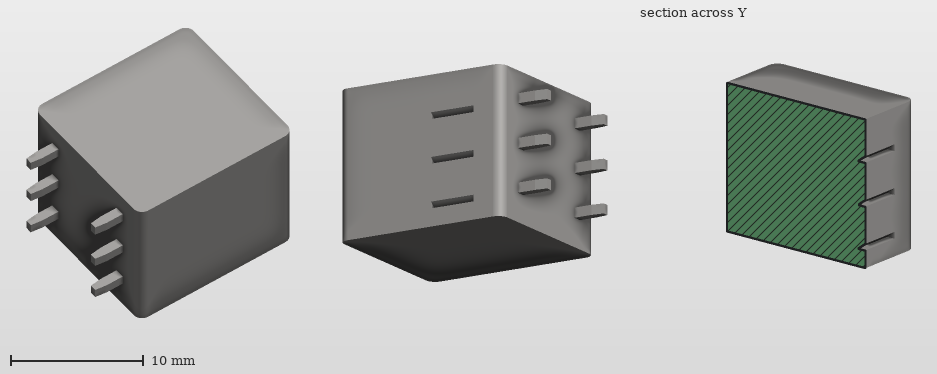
import cadquery as cq

housing_x = 13.5
housing_y = 14.4
housing_z = 11.9
corner_radius = 0.8

overall_y = 16.9
pin_length = overall_y - housing_y
pin_size = 0.8
pin_tip_width = 0.54
pin_taper_length = 1.0
pin_columns = (-4.0, 4.19)

slot_height = 0.52
slot_length = 3.75
slot_depth = 0.7
slot_setback = 2.5

row_pitch = 3.5
pin_row_offset = 0.25
slot_row_offset = -0.76

front_y = -housing_y / 2
side_x = -housing_x / 2
row_steps = (-row_pitch, 0, row_pitch)


def make_housing():
    return cq.Workplane("XY").box(housing_x, housing_y, housing_z).edges("|Z").fillet(corner_radius)


def make_pin(x, z):
    """Square pin pointing to -Y, with its last stretch narrowed in X."""
    tip_y = front_y - pin_length
    taper_y = tip_y + pin_taper_length
    outline = [
        (x - pin_size / 2, front_y),
        (x - pin_size / 2, taper_y),
        (x - pin_tip_width / 2, tip_y),
        (x + pin_tip_width / 2, tip_y),
        (x + pin_size / 2, taper_y),
        (x + pin_size / 2, front_y),
    ]
    return cq.Workplane("XY", origin=(0, 0, z - pin_size / 2)).polyline(outline).close().extrude(pin_size)


def make_slot(z):
    """Wedge with a level floor and a roof that slopes down to meet it inside the housing."""
    floor_z = z - slot_height / 2
    outline = [
        (side_x, floor_z),
        (side_x, floor_z + slot_height),
        (side_x + slot_depth, floor_z),
    ]
    start_y = front_y + slot_setback
    return cq.Workplane("XZ", origin=(0, start_y, 0)).polyline(outline).close().extrude(-slot_length)


result = make_housing()
for step in row_steps:
    for column_x in pin_columns:
        result = result.union(make_pin(column_x, pin_row_offset + step))
    result = result.cut(make_slot(slot_row_offset + step))